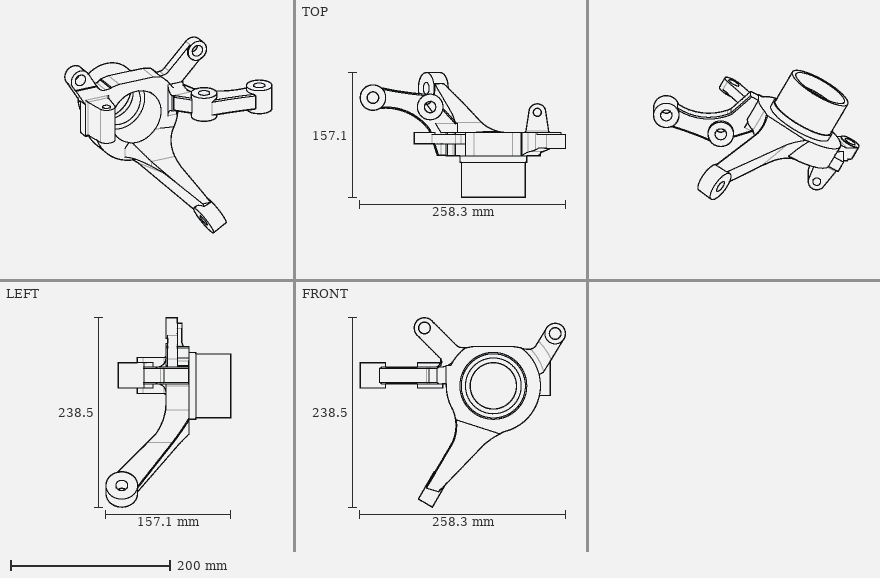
import cadquery as cq
import math


PLATE_R = 59.3
PLATE_DEPTH = 29.4
PLATE_TOP = 49.8
PLATE_FLAT_HALF = 24.2
PLATE_CORNER_X = 35.0
PLATE_SIDE_TOP = 25.6
TUBE_R = 40.35
TUBE_LENGTH = 52.32
COLLAR_R = 42.1
COLLAR_LENGTH = 8.4
BORE_R = 29.0
SEAT_R = 35.1
SEAT_DEPTH = 17.0
LIP_LENGTH = 20.0

LUG_R = 13.0
LUG_HOLE_R = 7.2
LUG_REAR = 27.0
LEFT_LUG = (-86.6, 72.8)
LEFT_LUG_FRONT = 15.0
LEFT_LUG_ANGLE = 45.0
LEFT_UPPER_CURVE = ((-47.6, 52.2), (-44.6, 49.6), (-40.5, 48.4))
LEFT_LOWER_CURVE = ((-70.2, 23.6), (-65.4, 27.4), (-66.2, 34.0))
LEFT_WEB_TOP = (-35.0, 47.9)
LEFT_WEB_BOTTOM = 20.0
RIGHT_LUG = (77.8, 65.8)
RIGHT_LUG_FRONT = 9.0
RIGHT_WEB_FRONT = 9.6
RIGHT_LUG_ANGLE = 58.3
RIGHT_UPPER_CURVE = ((53.3, 50.4), (49.6, 47.3), (43.6, 46.1))
RIGHT_WEB_TOP = (35.0, 47.0)
RIGHT_WEB_INNER = (50.0, 10.0)
RIGHT_WEB_LOWER = (63.0, 17.1)
RIGHT_RELIEF_Z = 53.3
RIGHT_BLEND_WIDTH = 6.5
RIGHT_BLEND_DEPTH = 5.5
RIGHT_BLEND_MIDDLE = (0.4, 0.65)
RIGHT_SLOPE_R = 80.0

ARM_MID_Z = 13.1
ARM_HEIGHT = 21.0
ARM_TOP = ARM_MID_Z + ARM_HEIGHT / 2
ARM_BOTTOM = ARM_MID_Z - ARM_HEIGHT / 2
ARM_BOSS_HEIGHT = 32.0
ARM_BOSS_BOTTOM = ARM_MID_Z - ARM_BOSS_HEIGHT / 2
ARM_BOSS_R = 16.1
ARM_HOLE_R = 7.1
ARM_END = (-151.4, 73.2)
ARM_MIDDLE = (-79.4, 61.4)
ARM_FRONT = 0.6
ARM_RIGHT = -47.0
ARM_REAR_CURVE = ((-140.3, 85.5), (-111.1, 80.3), (-79.4, 77.0))
ARM_FRONT_CURVE = ((-83.9, 36.0), (-108.5, 54.2), (-143.2, 59.5))
ARM_ELBOW = (-80.9, 32.0)
ARM_FRONT_LEFT_X = -70.6
ARM_REAR_RIGHT_Y = 42.0
SHOULDER_CURVE = ((-47.9, 35.0), (-54.2, 27.6), (-66.0, ARM_TOP))
SHOULDER_OVERLAP = 4.0
SHOULDER_RIGHT = -40.0
ARM_EDGE = 1.7
ARM_ROOT_R = 11.0
ARM_ROOT_RIGHT = -45.0
ARM_ROOT_TOP_LEFT = -72.5
ARM_ROOT_SLANT = 6.5
ARM_ROOT_BOTTOM_LEFT = -57.0

LOWER_BOSS_R = 20.0
LOWER_BOSS_LENGTH = 20.5
LOWER_HOLE_R = 7.4
LOWER_BOSS_FACE = (-84.4, 84.8, -125.1)
LOWER_BOSS_TILT = 30.0
BREAK_LEFT = (-45.9, -43.0)
BREAK_RIGHT = (8.6, -60.5)
ARM_RIGHT_START = (25.6, -52.9)
ARM_RIGHT_TOP = (-10.9, -73.2)
ARM_RIGHT_BOTTOM = (-60.5, -124.7)
SIDE_LEAN = 0.36
FACE_SETBACK = 0.697
LEFT_CURVE = ((-53.4, -25.3), (-47.1, -48.5), (-51.8, -71.2))
ARM_TIP_LEFT = (-87.0, -131.5)
ARM_TIP_RIGHT = (-72.0, -136.5)
BACK_CURVE = ((PLATE_DEPTH, -20.0), (32.4, -41.3), (42.0, -60.2))
BACK_BOTTOM = (90.8, -109.0)
SIDE_TIP_Z = -131.0
PLAN_CURVE = ((16.3, PLATE_DEPTH), (-1.5, 33.3), (-14.8, 42.0))
PLAN_REAR = (-66.0, 96.4)
REACH = 150.0
LOWER_EDGE = 1.2
LEFT_EDGE_MIDDLE = (-69.4, 43.7, -101.4)

TAB_HOLE = (55.3, 54.7)
TAB_HOLE_R = 4.9
TAB_TIP_R = 10.8
TAB_TIP_HALF = 10.3
TAB_HALF_BASE = 14.3
TAB_BOTTOM = -9.9
TAB_TOP = 35.8
TAB_BASE_Y = 32.0
TAB_ROOT_R = 2.1
BLOCK_RIGHT = 71.8
BLOCK_LEFT = 36.0
BLOCK_FRONT = 15.0
BLOCK_MARGIN = 2.5


def along_y(y0):
    """Workplane with local axes X, Z, placed at depth y0."""
    return cq.Workplane("XZ", origin=(0, y0, 0))


def rod_y(centre, radius, y0, y1):
    """Round rod along Y, centred at X, Z."""
    return along_y(y0).center(*centre).circle(radius).extrude(y0 - y1)


def rod_z(centre, radius, z0, z1):
    """Round rod along Z, centred at X, Y."""
    return cq.Workplane("XY", origin=(0, 0, z0)).center(*centre).circle(radius).extrude(z1 - z0)


def plate():
    """Round plate with a flat top, sloped shoulders and an upright left side."""
    corner_z = math.sqrt(PLATE_R**2 - PLATE_CORNER_X**2)
    outline = (
        along_y(0)
        .moveTo(-PLATE_CORNER_X, corner_z)
        .lineTo(-PLATE_FLAT_HALF, PLATE_TOP)
        .lineTo(PLATE_FLAT_HALF, PLATE_TOP)
        .lineTo(PLATE_CORNER_X, corner_z)
        .threePointArc((0, -PLATE_R), (-PLATE_CORNER_X, corner_z))
        .close()
    )
    upright_side = cq.Workplane("XY").box(PLATE_R, PLATE_DEPTH, PLATE_SIDE_TOP, centered=False)
    return outline.extrude(-PLATE_DEPTH).union(upright_side.translate((-PLATE_R, 0, 0)))


def arm_shoulder():
    """Concave fill between the round of the plate and the top of the steering arm."""
    start, middle, end = SHOULDER_CURVE
    base = ARM_TOP - SHOULDER_OVERLAP
    return (
        along_y(ARM_FRONT)
        .moveTo(*start)
        .threePointArc(middle, end)
        .lineTo(end[0], base)
        .lineTo(SHOULDER_RIGHT, base)
        .close()
        .extrude(ARM_FRONT - PLATE_DEPTH)
    )


def lug_tangent(angle_deg):
    """X, Z offset from a lug centre to where a side of its web leaves the lug."""
    angle = math.radians(angle_deg)
    return LUG_R * math.sin(angle), LUG_R * math.cos(angle)


def left_lug():
    """Upper left lug with its thinner web."""
    off_x, off_z = lug_tangent(LEFT_LUG_ANGLE)
    cx, cz = LEFT_LUG
    upper_start, upper_middle, upper_end = LEFT_UPPER_CURVE
    lower_start, lower_middle, lower_end = LEFT_LOWER_CURVE
    web = (
        along_y(LEFT_LUG_FRONT)
        .moveTo(cx + off_x, cz + off_z)
        .lineTo(*upper_start)
        .threePointArc(upper_middle, upper_end)
        .lineTo(*LEFT_WEB_TOP)
        .lineTo(LEFT_WEB_TOP[0], LEFT_WEB_BOTTOM)
        .lineTo(lower_start[0], LEFT_WEB_BOTTOM)
        .lineTo(*lower_start)
        .threePointArc(lower_middle, lower_end)
        .lineTo(cx - off_x, cz - off_z)
        .close()
        .extrude(LEFT_LUG_FRONT - LUG_REAR)
    )
    return web.union(rod_y(LEFT_LUG, LUG_R, LEFT_LUG_FRONT, PLATE_DEPTH))


def right_front_space():
    """Space ahead of the right web: a concave blend at the plate, then a slow slope to the web front."""
    blend_r = PLATE_R + RIGHT_BLEND_WIDTH
    blend_middle = (
        PLATE_R + RIGHT_BLEND_MIDDLE[0] * RIGHT_BLEND_WIDTH,
        RIGHT_BLEND_MIDDLE[1] * RIGHT_BLEND_DEPTH,
    )
    outside = 2 * RIGHT_SLOPE_R
    return (
        cq.Workplane("XY")
        .moveTo(PLATE_R, 0)
        .threePointArc(blend_middle, (blend_r, RIGHT_BLEND_DEPTH))
        .lineTo(RIGHT_SLOPE_R, RIGHT_WEB_FRONT)
        .lineTo(outside, RIGHT_WEB_FRONT)
        .lineTo(outside, 0)
        .close()
        .revolve(360, (0, 0, 0), (0, 1, 0))
    )


def right_lug():
    """Upper right lug and its web, relieved at the rear and blended at the front."""
    off_x, off_z = lug_tangent(RIGHT_LUG_ANGLE)
    cx, cz = RIGHT_LUG
    upper_start, upper_middle, upper_end = RIGHT_UPPER_CURVE
    web = (
        along_y(0)
        .moveTo(cx - off_x, cz + off_z)
        .lineTo(*upper_start)
        .threePointArc(upper_middle, upper_end)
        .lineTo(*RIGHT_WEB_TOP)
        .lineTo(*RIGHT_WEB_INNER)
        .lineTo(*RIGHT_WEB_LOWER)
        .lineTo(cx + off_x, cz - off_z)
        .close()
        .extrude(-PLATE_DEPTH)
    )
    size = 2 * PLATE_R
    relief = cq.Workplane("XY").box(size, size, size, centered=(True, False, False))
    web = web.cut(relief.translate((cx, LUG_REAR, RIGHT_RELIEF_Z)))
    web = web.cut(right_front_space())
    return web.union(rod_y(RIGHT_LUG, LUG_R, RIGHT_LUG_FRONT, LUG_REAR))


def steering_arm():
    """Curved horizontal bar with bevelled edges and two upright bosses."""
    rear_start, rear_middle, rear_end = ARM_REAR_CURVE
    front_start, front_middle, front_end = ARM_FRONT_CURVE
    bar = (
        cq.Workplane("XY", origin=(0, 0, ARM_BOTTOM))
        .moveTo(*rear_start)
        .threePointArc(rear_middle, rear_end)
        .lineTo(ARM_RIGHT, ARM_REAR_RIGHT_Y)
        .lineTo(ARM_RIGHT, ARM_FRONT)
        .lineTo(ARM_FRONT_LEFT_X, ARM_FRONT)
        .lineTo(*ARM_ELBOW)
        .lineTo(*front_start)
        .threePointArc(front_middle, front_end)
        .close()
        .extrude(ARM_HEIGHT)
    )
    bar = bar.faces("<Z or >Z").edges("not <Y").chamfer(ARM_EDGE)
    for centre in (ARM_END, ARM_MIDDLE):
        bar = bar.union(rod_z(centre, ARM_BOSS_R, ARM_BOSS_BOTTOM, ARM_BOSS_BOTTOM + ARM_BOSS_HEIGHT))
    return bar


def arm_root(side, left):
    """Concave blend from the arm's top (side 1) or bottom (side -1) into the plate rear."""
    far_z = ARM_MID_Z + side * (ARM_HEIGHT / 2 + ARM_ROOT_R)
    far_y = PLATE_DEPTH + ARM_ROOT_R
    block = (
        cq.Workplane("YZ", origin=(left, 0, 0))
        .moveTo(PLATE_DEPTH, ARM_MID_Z)
        .lineTo(far_y, ARM_MID_Z)
        .lineTo(far_y, far_z)
        .lineTo(PLATE_DEPTH, far_z)
        .close()
        .extrude(ARM_ROOT_RIGHT - left)
    )
    hollow = cq.Workplane("YZ", origin=(left, 0, 0)).center(far_y, far_z).circle(ARM_ROOT_R)
    return block.cut(hollow.extrude(ARM_ROOT_RIGHT - left))


def arm_root_top():
    """Upper blend, its left end narrowing toward the plate."""
    slanted_end = (
        cq.Workplane("XY")
        .moveTo(ARM_ROOT_TOP_LEFT, PLATE_DEPTH)
        .lineTo(ARM_ROOT_TOP_LEFT, PLATE_DEPTH + ARM_ROOT_R)
        .lineTo(ARM_ROOT_TOP_LEFT + ARM_ROOT_SLANT, PLATE_DEPTH)
        .close()
        .extrude(ARM_TOP + ARM_ROOT_R)
    )
    return arm_root(1, ARM_ROOT_TOP_LEFT).cut(slanted_end)


def lower_arm():
    """Front outline, side profile and plan outline intersected, then trimmed by the sloping faces."""
    left_start, left_middle, left_end = LEFT_CURVE
    back_start, back_middle, back_end = BACK_CURVE
    plan_start, plan_middle, plan_end = PLAN_CURVE
    boss_y = LOWER_BOSS_FACE[1]
    front = (
        along_y(0)
        .moveTo(*left_start)
        .threePointArc(left_middle, left_end)
        .lineTo(*ARM_TIP_LEFT)
        .lineTo(*ARM_TIP_RIGHT)
        .lineTo(*ARM_RIGHT_BOTTOM)
        .lineTo(*ARM_RIGHT_TOP)
        .threePointArc(BREAK_RIGHT, ARM_RIGHT_START)
        .lineTo(0, BACK_CURVE[0][1])
        .close()
        .extrude(-REACH)
    )
    side = (
        cq.Workplane("YZ", origin=(-REACH, 0, 0))
        .moveTo(0, 0)
        .lineTo(PLATE_DEPTH, 0)
        .lineTo(*back_start)
        .threePointArc(back_middle, back_end)
        .lineTo(*BACK_BOTTOM)
        .lineTo(boss_y, SIDE_TIP_Z)
        .lineTo(boss_y - LOWER_BOSS_R, -REACH)
        .lineTo(0, -REACH)
        .close()
        .extrude(2 * REACH)
    )
    plan = (
        cq.Workplane("XY", origin=(0, 0, -REACH))
        .moveTo(-REACH, 0)
        .lineTo(PLATE_R, 0)
        .lineTo(PLATE_R, PLATE_DEPTH)
        .lineTo(*plan_start)
        .threePointArc(plan_middle, plan_end)
        .lineTo(*PLAN_REAR)
        .lineTo(PLAN_REAR[0], REACH)
        .lineTo(-REACH, REACH)
        .close()
        .extrude(REACH)
    )
    arm = front.intersect(side).intersect(plan).cut(bend_space()).cut(lean_space())
    return arm.edges(cq.selectors.NearestToPointSelector(LEFT_EDGE_MIDDLE)).chamfer(LOWER_EDGE)


def bend_depth(x, z):
    """Depth of the slanted front face below the bend line."""
    run_x = BREAK_RIGHT[0] - BREAK_LEFT[0]
    run_z = BREAK_RIGHT[1] - BREAK_LEFT[1]
    below = ((x - BREAK_LEFT[0]) * run_z - (z - BREAK_LEFT[1]) * run_x) / math.hypot(run_x, run_z)
    return FACE_SETBACK * below


def bend_space():
    """Wedge in front of the slanted face of the lower arm."""
    run = (BREAK_RIGHT[0] - BREAK_LEFT[0], 0, BREAK_RIGHT[1] - BREAK_LEFT[1])
    start = cq.Plane(origin=(BREAK_LEFT[0], 0, BREAK_LEFT[1]), xDir=(0, 1, 0), normal=run)
    return (
        cq.Workplane(start)
        .lineTo(FACE_SETBACK * REACH, -REACH)
        .lineTo(0, -REACH)
        .close()
        .extrude(REACH, both=True)
    )


def lean_space():
    """Space right of the leaning right side of the lower arm."""
    corners = [(x + SIDE_LEAN * bend_depth(x, z), z) for x, z in (ARM_RIGHT_TOP, ARM_RIGHT_BOTTOM)]
    (x0, z0), (x1, z1) = corners
    outline = (
        along_y(0)
        .moveTo(*ARM_RIGHT_START)
        .threePointArc(BREAK_RIGHT, (x0, z0))
        .lineTo(2 * x1 - x0, 2 * z1 - z0)
        .lineTo(REACH, 2 * z1 - z0)
        .lineTo(REACH, ARM_RIGHT_START[1])
        .close()
    )
    lean = cq.Vector(-SIDE_LEAN * REACH, REACH, 0)
    return cq.Workplane(cq.Solid.extrudeLinear(outline.val(), [], lean))


def lower_boss_axis():
    """Workplane on the outer face of the tilted boss, normal along its axis."""
    tilt = math.radians(LOWER_BOSS_TILT)
    return cq.Workplane(
        cq.Plane(origin=LOWER_BOSS_FACE, xDir=(0, 1, 0), normal=(math.cos(tilt), 0, -math.sin(tilt)))
    )


def bracket():
    """Upright tab with a hole, filleted onto a block beside the plate."""
    hx, hy = TAB_HOLE
    block_height = TAB_TOP - TAB_BOTTOM + 2 * BLOCK_MARGIN
    block = cq.Workplane("XY").box(
        BLOCK_RIGHT - BLOCK_LEFT, PLATE_DEPTH - BLOCK_FRONT, block_height, centered=False
    )
    block = block.translate((BLOCK_LEFT, BLOCK_FRONT, TAB_BOTTOM - BLOCK_MARGIN))
    tip_y = hy + math.sqrt(TAB_TIP_R**2 - TAB_TIP_HALF**2)
    tab = (
        cq.Workplane("XY", origin=(0, 0, TAB_BOTTOM))
        .moveTo(hx - TAB_HALF_BASE, BLOCK_FRONT)
        .lineTo(hx - TAB_HALF_BASE, TAB_BASE_Y)
        .lineTo(hx - TAB_TIP_HALF, tip_y)
        .threePointArc((hx, hy + TAB_TIP_R), (hx + TAB_TIP_HALF, tip_y))
        .lineTo(hx + TAB_HALF_BASE, TAB_BASE_Y)
        .lineTo(hx + TAB_HALF_BASE, BLOCK_FRONT)
        .close()
        .extrude(TAB_TOP - TAB_BOTTOM)
    )
    slack = 0.1
    root = cq.selectors.BoxSelector(
        (hx - TAB_HALF_BASE - slack, PLATE_DEPTH - slack, TAB_BOTTOM - slack),
        (hx + TAB_HALF_BASE + slack, PLATE_DEPTH + slack, TAB_TOP + slack),
    )
    return block.union(tab).edges(root).fillet(TAB_ROOT_R)


def bores():
    """All round holes, as a list of cutting rods."""
    rods = [
        rod_y((0, 0), BORE_R, -TUBE_LENGTH, PLATE_DEPTH),
        rod_y((0, 0), SEAT_R, -TUBE_LENGTH, SEAT_DEPTH - TUBE_LENGTH),
        rod_y((0, 0), SEAT_R, SEAT_DEPTH + LIP_LENGTH - TUBE_LENGTH, 2 * PLATE_DEPTH),
        rod_z(TAB_HOLE, TAB_HOLE_R, TAB_BOTTOM, TAB_TOP),
        lower_boss_axis().circle(LOWER_HOLE_R).extrude(LOWER_BOSS_LENGTH),
    ]
    for centre in (LEFT_LUG, RIGHT_LUG):
        rods.append(rod_y(centre, LUG_HOLE_R, 0, PLATE_DEPTH))
    for centre in (ARM_END, ARM_MIDDLE):
        rods.append(rod_z(centre, ARM_HOLE_R, ARM_BOSS_BOTTOM, ARM_BOSS_BOTTOM + ARM_BOSS_HEIGHT))
    return rods


body = plate()
pieces = (
    arm_shoulder(),
    left_lug(),
    right_lug(),
    steering_arm(),
    arm_root_top(),
    arm_root(-1, ARM_ROOT_BOTTOM_LEFT),
    lower_arm(),
    bracket(),
)
for piece in pieces:
    body = body.union(piece)
body = body.cut(bend_space())
body = body.union(lower_boss_axis().circle(LOWER_BOSS_R).extrude(LOWER_BOSS_LENGTH))
body = body.union(rod_y((0, 0), COLLAR_R, -COLLAR_LENGTH, PLATE_DEPTH))
body = body.union(rod_y((0, 0), TUBE_R, -TUBE_LENGTH, PLATE_DEPTH))
for bore in bores():
    body = body.cut(bore)
result = body